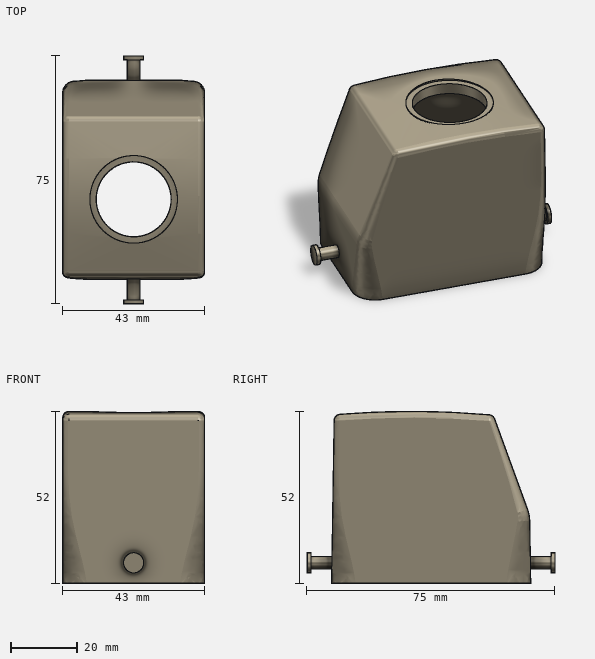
import cadquery as cq
import math

MakeFillet = cq.occ_impl.shapes.BRepFilletAPI_MakeFillet
PointArray2d = cq.occ_impl.shapes.TColgp_HArray1OfPnt2d
Point2d = cq.occ_impl.shapes.gp_Pnt2d

WIDTH = 43.0
BASE_LENGTH = 60.3
HEIGHT = 52.0
DRAFT = math.tan(math.radians(0.9))

SHOULDER_Z = 20.6
SHOULDER_SLOPE = math.tan(math.radians(20.0))
SHOULDER_RADIUS = 10.8

CROWN_RADIUS = 275.0
HOLE_Y = -5.9

BASE_CORNER_RADIUS = 7.4
SHOULDER_CORNER_RADIUS = 3.3
TOP_CORNER_RADIUS = 1.7
ROOF_EDGE_RADIUS = 2.0
FRONT_CORNER_TAPER = (
    (0.0, BASE_CORNER_RADIUS),
    (0.36, 3.2),
    (0.5, 2.2),
    (1.0, TOP_CORNER_RADIUS),
)

HOLE_DIAMETER = 22.6
SPOT_FACE_DIAMETER = 26.5
SPOT_FACE_Z = HEIGHT - 0.5
ROOF_THICKNESS = 3.5

WALL = 4.5
CAVITY_REAR_Y = 18.2

PIN_Z = 6.2
PIN_DIAMETER = 3.9
PIN_HEAD_DIAMETER = 6.1
PIN_HEAD_THICKNESS = 1.2
PIN_SPAN = 75.0

HALF_LENGTH = BASE_LENGTH / 2
SHOULDER_Y = HALF_LENGTH - DRAFT * SHOULDER_Z
REFINEMENT_STEPS = 20


def crown_z(y):
    """Height of the crowned roof at a given Y."""
    return HEIGHT - CROWN_RADIUS + math.sqrt(CROWN_RADIUS**2 - (y - HOLE_Y)**2)


def roof_corner(wall_y):
    """Where an end wall, given as Y over Z, meets the crowned roof."""
    z = HEIGHT
    for _ in range(REFINEMENT_STEPS):
        z = crown_z(wall_y(z))
    return wall_y(z), z


def make_blank():
    """Sharp-edged hood: the side outline extruded across the width."""
    front_top = roof_corner(lambda z: DRAFT * z - HALF_LENGTH)
    rear_top = roof_corner(lambda z: SHOULDER_Y - SHOULDER_SLOPE * (z - SHOULDER_Z))
    blank = (
        cq.Workplane("YZ")
        .moveTo(-HALF_LENGTH, 0)
        .lineTo(HALF_LENGTH, 0)
        .lineTo(SHOULDER_Y, SHOULDER_Z)
        .lineTo(*rear_top)
        .threePointArc((HOLE_Y, HEIGHT), front_top)
        .close()
        .extrude(WIDTH / 2, both=True)
    )
    shoulder_edge = cq.NearestToPointSelector((0, SHOULDER_Y, SHOULDER_Z))
    return blank.edges(shoulder_edge).fillet(SHOULDER_RADIUS)


def rear_corner_radius(z):
    """Rear corner radius at height z: shrinks fast up to the shoulder, slowly above it."""
    if z <= SHOULDER_Z:
        rise = z / SHOULDER_Z
        return BASE_CORNER_RADIUS + (SHOULDER_CORNER_RADIUS - BASE_CORNER_RADIUS) * rise
    rise = (z - SHOULDER_Z) / (HEIGHT - SHOULDER_Z)
    return SHOULDER_CORNER_RADIUS + (TOP_CORNER_RADIUS - SHOULDER_CORNER_RADIUS) * rise


def front_corner_law(edge):
    """Front corner taper as pairs of edge parameter and radius, in the edge's own direction."""
    runs_upward = edge.startPoint().z < edge.endPoint().z
    stations = FRONT_CORNER_TAPER if runs_upward else FRONT_CORNER_TAPER[::-1]
    law = PointArray2d(1, len(stations))
    for index, (height_fraction, radius) in enumerate(stations, start=1):
        parameter = height_fraction if runs_upward else 1 - height_fraction
        law.SetValue(index, Point2d(parameter, radius))
    return law


def round_edges(blank):
    """Round the four upright corners and the roof rim in one fillet, so that they blend."""
    fillet = MakeFillet(blank.val().wrapped)

    roof_edges = blank.faces(">Z").edges().vals()
    for edge in roof_edges:
        fillet.Add(ROOF_EDGE_RADIUS, edge.wrapped)

    base_edges = blank.faces("<Z").edges().vals()
    for side in ("<X", ">X"):
        for edge in blank.faces(side).edges().vals():
            if any(edge.isSame(other) for other in roof_edges + base_edges):
                continue
            if edge.Center().y < 0:
                fillet.Add(front_corner_law(edge), edge.wrapped)
            else:
                start_radius = rear_corner_radius(edge.startPoint().z)
                end_radius = rear_corner_radius(edge.endPoint().z)
                fillet.Add(start_radius, end_radius, edge.wrapped)

    return cq.Workplane(cq.Shape.cast(fillet.Shape()))


def make_cavity():
    """Rectangular cavity, open at the base."""
    front_y = WALL - HALF_LENGTH
    return (
        cq.Workplane("XY")
        .center(0, (CAVITY_REAR_Y + front_y) / 2)
        .rect(WIDTH - 2 * WALL, CAVITY_REAR_Y - front_y)
        .extrude(SPOT_FACE_Z - ROOF_THICKNESS)
    )


def make_cable_hole():
    """Through hole in the roof together with its spot face."""
    hole = cq.Workplane("XY").center(0, HOLE_Y).circle(HOLE_DIAMETER / 2).extrude(HEIGHT)
    spot_face = (
        cq.Workplane("XY", origin=(0, HOLE_Y, SPOT_FACE_Z))
        .circle(SPOT_FACE_DIAMETER / 2)
        .extrude(HEIGHT - SPOT_FACE_Z)
    )
    return hole.union(spot_face)


def make_pin(end):
    """Headed pin on one end wall; end is -1 for the front and +1 for the rear."""
    root_y = HALF_LENGTH - WALL / 2
    head_y = PIN_SPAN / 2 - PIN_HEAD_THICKNESS
    shank = (
        cq.Workplane("XZ", origin=(0, end * root_y, PIN_Z))
        .circle(PIN_DIAMETER / 2)
        .extrude(-end * (PIN_SPAN / 2 - root_y))
    )
    head = (
        cq.Workplane("XZ", origin=(0, end * head_y, PIN_Z))
        .circle(PIN_HEAD_DIAMETER / 2)
        .extrude(-end * PIN_HEAD_THICKNESS)
    )
    return shank.union(head)


hood = round_edges(make_blank())
hood = hood.cut(make_cavity()).cut(make_cable_hole())
for pin_end in (-1, 1):
    hood = hood.union(make_pin(pin_end))

result = hood